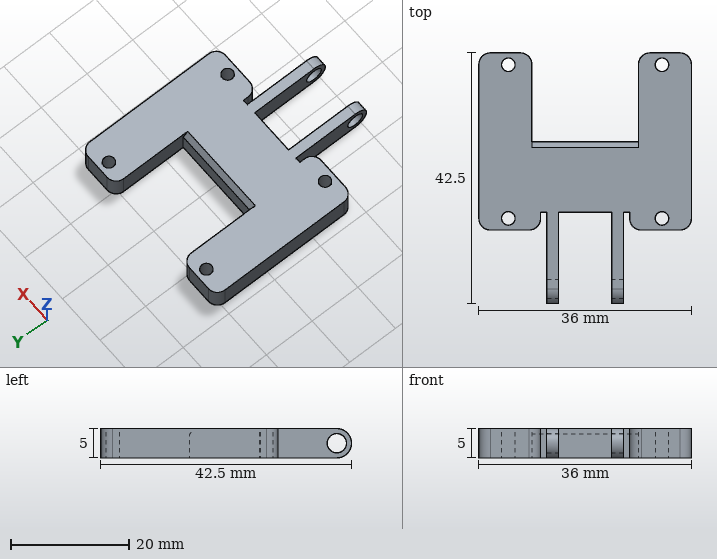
import cadquery as cq

length = 42.45
width = 36.0
thickness = 5.0
plate_length = 30.0
corner_radius = 2.0

opening_width = 18.0
opening_depth = 16.0
edge_chamfer = 0.98

notch_width = 15.05
notch_depth = 3.0
arm_thickness = 2.0
arm_outer_span = 13.0
pin_diameter = 3.23
tip_radius = thickness / 2
pin_y = plate_length - length + tip_radius

screw_diameter = 2.25
screw_spacing = 26.0
screw_front_offset = 2.0


def make_plate():
    """U-shaped plate with rounded feet and a chamfered opening wall."""
    plate = cq.Workplane("XY").rect(width, plate_length).extrude(thickness)
    plate = plate.translate((0, plate_length / 2, 0))
    opening = (
        cq.Workplane("YZ")
        .moveTo(plate_length, 0)
        .lineTo(plate_length - opening_depth + edge_chamfer, 0)
        .lineTo(plate_length - opening_depth + edge_chamfer, thickness - edge_chamfer)
        .lineTo(plate_length - opening_depth, thickness)
        .lineTo(plate_length, thickness)
        .close()
        .extrude(opening_width / 2, both=True)
    )
    notch = cq.Workplane("XY").rect(notch_width, 2 * notch_depth).extrude(thickness)
    plate = plate.cut(opening).cut(notch)
    plate = plate.edges("|Z and >Y").fillet(corner_radius)
    return plate.edges("|Z and <Y").fillet(corner_radius)


def make_arm(outer_x):
    """Hinge arm with a rounded, drilled tip; it extends towards +X from outer_x."""
    arm = (
        cq.Workplane("YZ", origin=(outer_x, 0, 0))
        .moveTo(notch_depth, 0)
        .lineTo(pin_y, 0)
        .threePointArc((pin_y - tip_radius, tip_radius), (pin_y, thickness))
        .lineTo(notch_depth, thickness)
        .close()
        .extrude(arm_thickness)
    )
    pin_hole = (
        cq.Workplane("YZ", origin=(outer_x, pin_y, tip_radius))
        .circle(pin_diameter / 2)
        .extrude(arm_thickness)
    )
    return arm.cut(pin_hole)


def make_screw_holes():
    """Four through holes on a square pattern."""
    return (
        cq.Workplane("XY", origin=(0, screw_front_offset + screw_spacing / 2, 0))
        .rect(screw_spacing, screw_spacing, forConstruction=True)
        .vertices()
        .circle(screw_diameter / 2)
        .extrude(thickness)
    )


result = make_plate().cut(make_screw_holes())
for outer_x in (-arm_outer_span / 2, arm_outer_span / 2 - arm_thickness):
    result = result.union(make_arm(outer_x))